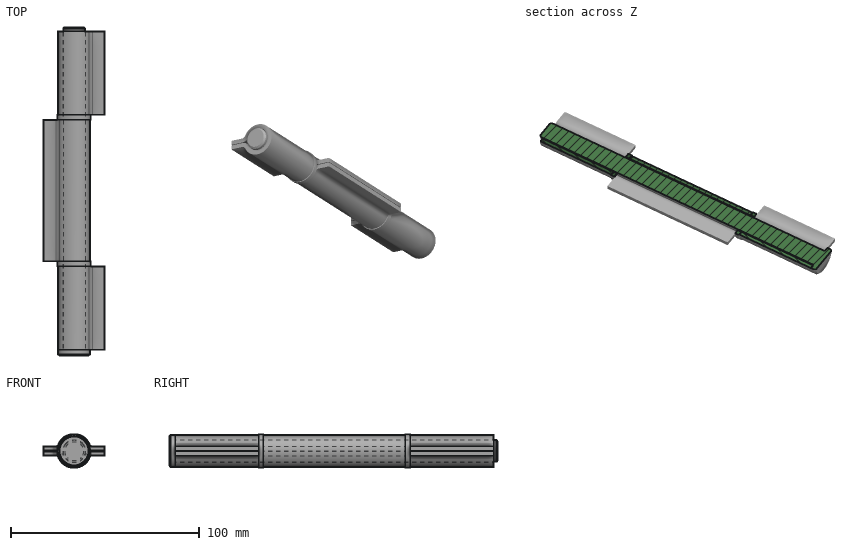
import cadquery as cq
import math


total_length = 174.0
head_length = 3.1
end_knuckle_length = 44.2
middle_knuckle_length = 75.0
washer_thickness = 2.6

knuckle_diameter = 17.0
bore_diameter = 12.0
pin_diameter = 11.7
washer_diameter = 18.0
head_diameter = knuckle_diameter

leaf_reach = 16.2
slit_width = 0.3
leaf_thickness = 2.3
bend_radius = 2.3

head_bevel = 0.9
tip_bevel = 0.9

head_face = -total_length / 2
front_knuckle_start = head_face + head_length
front_washer_start = front_knuckle_start + end_knuckle_length
middle_knuckle_start = front_washer_start + washer_thickness
back_washer_start = middle_knuckle_start + middle_knuckle_length
back_knuckle_start = back_washer_start + washer_thickness


def plane_at(y):
    """Plane across the pin axis whose normal points along +Y and whose local x is +X (local y is -Z)."""
    return cq.Plane(origin=(0, y, 0), xDir=(1, 0, 0), normal=(0, 1, 0))


def make_pin():
    """Pin with a bevelled head at the -Y end and a bevelled tip at the +Y end."""
    head = (
        cq.Workplane(plane_at(head_face))
        .circle(head_diameter / 2)
        .extrude(head_length)
        .faces("<Y")
        .chamfer(head_bevel)
    )
    shank = (
        cq.Workplane(plane_at(front_knuckle_start))
        .circle(pin_diameter / 2)
        .extrude(total_length - head_length)
        .faces(">Y")
        .chamfer(tip_bevel)
    )
    return head.union(shank)


def make_washer(start):
    """Flat ring around the pin."""
    return (
        cq.Workplane(plane_at(start))
        .circle(washer_diameter / 2)
        .circle(bore_diameter / 2)
        .extrude(washer_thickness)
    )


def barrel_with_leaf(start, length, side, radius, half_height, bend):
    """Solid barrel with one leaf on the given side (+1 for +X, -1 for -X).

    Above and below, a concave bend touches both the barrel circle and the flat face of the leaf.
    """
    bend_centre_height = half_height + bend
    bend_centre_x = math.sqrt((radius + bend) ** 2 - bend_centre_height ** 2)
    barrel_share = radius / (radius + bend)
    touch_x = bend_centre_x * barrel_share
    touch_height = bend_centre_height * barrel_share
    return (
        cq.Workplane(plane_at(start))
        .moveTo(side * leaf_reach, half_height)
        .lineTo(side * bend_centre_x, half_height)
        .tangentArcPoint((side * touch_x, touch_height), relative=False)
        .threePointArc((-side * radius, 0), (side * touch_x, -touch_height))
        .tangentArcPoint((side * bend_centre_x, -half_height), relative=False)
        .lineTo(side * leaf_reach, -half_height)
        .close()
        .extrude(length)
    )


def make_knuckle(start, length, side):
    """Sheet wrapped around the pin, its two ends meeting as a pair of leaves with a slit between."""
    outer_radius = knuckle_diameter / 2
    bore_radius = bore_diameter / 2
    half_slit = slit_width / 2
    inner_bend = bend_radius + outer_radius - bore_radius
    outside = barrel_with_leaf(start, length, side, outer_radius, half_slit + leaf_thickness, bend_radius)
    inside = barrel_with_leaf(start, length, side, bore_radius, half_slit, inner_bend)
    return outside.cut(inside)


pin = make_pin()

washers = [make_washer(start) for start in (front_washer_start, back_washer_start)]

right_leaf = 1
left_leaf = -1
knuckles = [
    make_knuckle(start, length, side)
    for start, length, side in (
        (front_knuckle_start, end_knuckle_length, right_leaf),
        (middle_knuckle_start, middle_knuckle_length, left_leaf),
        (back_knuckle_start, end_knuckle_length, right_leaf),
    )
]

result = cq.Compound.makeCompound([body.val() for body in [pin, *washers, *knuckles]])